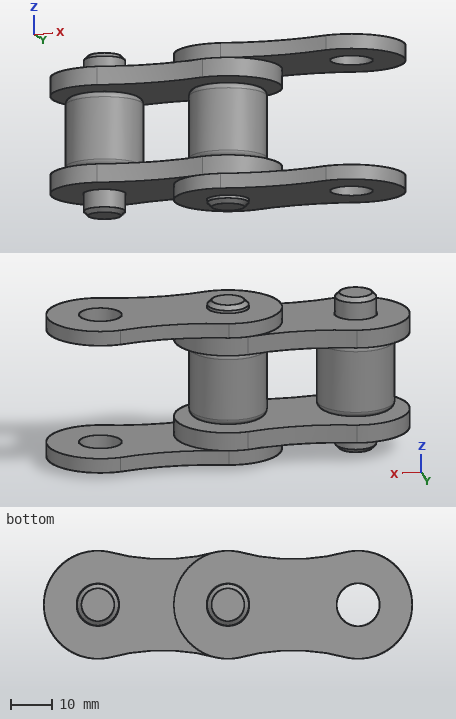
import cadquery as cq

pitch = 31.7
pin_positions = (0, pitch)

plate_end_radius = 13.2
waist_half_width = 11.1
blend_offset = 2.3
plate_hole_diameter = 10.4
inner_plate_thickness = 4.6
outer_plate_thickness = 3.7
inner_plate_gap = 19.8

pin_diameter = 10.15
pin_length = 39.8
pin_end_chamfer = 1.1

roller_diameter = 19.0
roller_length = 18.6
roller_edge_radius = 1.5

inner_plate_z = inner_plate_gap / 2
outer_plate_z = inner_plate_z + inner_plate_thickness


def make_plate(start_x, bottom_z, thickness):
    """Waisted plate with a hole at each end, its first hole axis at start_x."""
    blend_y = (plate_end_radius**2 - blend_offset**2) ** 0.5
    middle_x = pitch / 2
    far_blend_x = pitch - blend_offset
    outline = (
        cq.Workplane("XY", origin=(start_x, 0, bottom_z))
        .moveTo(blend_offset, blend_y)
        .threePointArc((middle_x, waist_half_width), (far_blend_x, blend_y))
        .threePointArc((pitch + plate_end_radius, 0), (far_blend_x, -blend_y))
        .threePointArc((middle_x, -waist_half_width), (blend_offset, -blend_y))
        .threePointArc((-plate_end_radius, 0), (blend_offset, blend_y))
        .close()
    )
    holes = (
        cq.Workplane("XY", origin=(start_x, 0, bottom_z))
        .pushPoints([(0, 0), (pitch, 0)])
        .circle(plate_hole_diameter / 2)
        .extrude(thickness)
    )
    return outline.extrude(thickness).cut(holes)


def make_plate_pair(start_x, inner_face_z, thickness):
    """Matching upper and lower plates, each lying outside inner_face_z."""
    bottom_levels = (inner_face_z, -inner_face_z - thickness)
    return [make_plate(start_x, bottom_z, thickness).val() for bottom_z in bottom_levels]


def make_pin(x):
    """Solid pin with chamfered ends."""
    return (
        cq.Workplane("XY", origin=(x, 0, -pin_length / 2))
        .circle(pin_diameter / 2)
        .extrude(pin_length)
        .edges("%CIRCLE")
        .chamfer(pin_end_chamfer)
    )


def make_roller(x):
    """Sleeve on a pin, its outer edges rounded."""
    sleeve = (
        cq.Workplane("XY", origin=(x, 0, -roller_length / 2))
        .circle(roller_diameter / 2)
        .extrude(roller_length)
        .edges("%CIRCLE")
        .fillet(roller_edge_radius)
    )
    bore = (
        cq.Workplane("XY", origin=(x, 0, -roller_length / 2))
        .circle(pin_diameter / 2)
        .extrude(roller_length)
    )
    return sleeve.cut(bore)


inner_plates = make_plate_pair(0, inner_plate_z, inner_plate_thickness)
outer_plates = make_plate_pair(pitch, outer_plate_z, outer_plate_thickness)
pins = [make_pin(x).val() for x in pin_positions]
rollers = [make_roller(x).val() for x in pin_positions]

result = cq.Compound.makeCompound([*inner_plates, *outer_plates, *pins, *rollers])